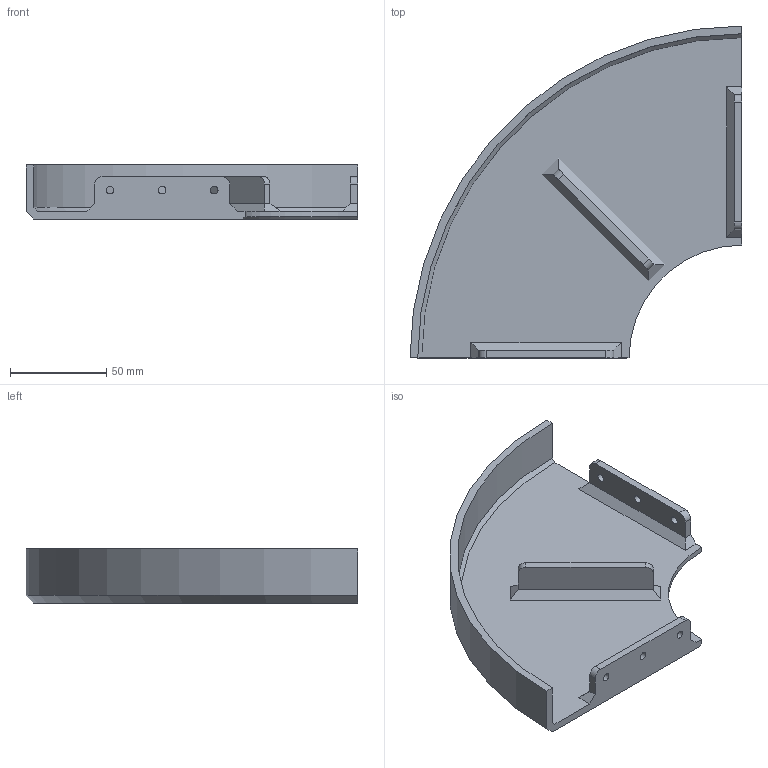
import cadquery as cq

outer_radius = 172.0
inner_radius = 58.5
height = 28.0
wall = 4.0
floor = 4.0
sweep_angle = 90.0

outer_bevel = 4.0
corner_bevel = 2.0
inner_bevel = 1.2

rib_length = 70.0
rib_thickness = 4.0
rib_top = 22.0
rib_corner_radius = 4.0
foot_bevel = 4.0
foot_taper = 45.0
foot_gap = 4.0
rib_middle = inner_radius + foot_gap + foot_bevel + rib_length / 2

hole_diameter = 4.0
hole_spacing = 27.0
hole_height = 15.0
hole_count = 3


def make_tray():
    """Sweep the floor-and-wall section through a quarter turn about Z."""
    wall_inside = outer_radius - wall
    section = [
        (inner_radius + inner_bevel, 0),
        (outer_radius - outer_bevel, 0),
        (outer_radius, outer_bevel),
        (outer_radius, height),
        (wall_inside, height),
        (wall_inside, floor + corner_bevel),
        (wall_inside - corner_bevel, floor),
        (inner_radius, floor),
        (inner_radius, inner_bevel),
    ]
    outline = [(-radius, z) for radius, z in section]
    return cq.Workplane("XZ").polyline(outline).close().revolve(sweep_angle, (0, 0), (0, -1))


def make_rib(offset):
    """Rib lying along -X, shifted sideways in Y by offset, with its flared foot."""
    rib_height = rib_top - floor
    base = cq.Workplane("XY", origin=(-rib_middle, offset, floor))
    blade = base.box(rib_length, rib_thickness, rib_height, centered=(True, True, False))
    blade = blade.edges("|Y and >Z").fillet(rib_corner_radius)
    foot_length = rib_length + 2 * foot_bevel
    foot_width = rib_thickness + 2 * foot_bevel
    foot = base.rect(foot_length, foot_width).extrude(foot_bevel, taper=foot_taper)
    return blade.union(foot)


def drill_rib(rib, offset):
    """Cut the row of screw holes across a rib that lies along -X."""
    row = (
        cq.Workplane("XZ", origin=(-rib_middle, offset, hole_height))
        .rarray(hole_spacing, 1, hole_count, 1)
        .circle(hole_diameter / 2)
        .extrude(rib_thickness, both=True)
    )
    return rib.cut(row)


def turn(rib, angle):
    """Turn a rib clockwise about the Z axis, seen from above."""
    return rib.rotate((0, 0, 0), (0, 0, 1), -angle)


def make_ribs():
    """Drilled ribs flush with both open ends and a plain rib halfway between."""
    half = rib_thickness / 2
    first = drill_rib(make_rib(half), half)
    last = turn(drill_rib(make_rib(-half), -half), sweep_angle)
    middle = turn(make_rib(0), sweep_angle / 2)
    quadrant = cq.Workplane("XY").box(outer_radius, outer_radius, height, centered=False)
    quadrant = quadrant.translate((-outer_radius, 0, 0))
    return first.union(last).union(middle).intersect(quadrant)


result = make_tray().union(make_ribs())